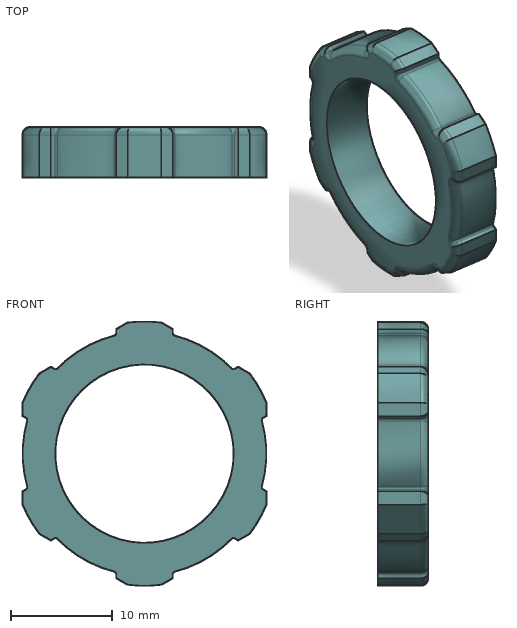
import cadquery as cq
import math

lug_diameter = 26.0
across_flats = 24.0
body_diameter = 23.95
hole_diameter = 17.5
thickness = 5.0
lug_width = 5.6
lug_count = 6
root_radius = 0.2
rim_radius = 0.8

lug_pitch = 360 / lug_count
hexagon_corner_diameter = across_flats / math.cos(math.pi / lug_count)
bar_length = 1.2 * lug_diameter
half_lug = lug_width / 2
body_radius = body_diameter / 2


def front_plane():
    """Sketch plane in X and Z; negative extrusions run toward +Y."""
    return cq.Workplane("XZ")


def disc(diameter):
    return front_plane().circle(diameter / 2).extrude(-thickness)


def turned(solid, angle):
    """Turn a solid about the ring axis."""
    return solid.rotate((0, 0, 0), (0, 1, 0), angle)


def round_rim(solid):
    """Round every edge of the +Y face."""
    return solid.faces(">Y").edges().fillet(rim_radius)


def lug_blank():
    """Hexagon with corners on the lug axes, cut back to the lug circle."""
    hexagon = front_plane().polygon(lug_count, hexagon_corner_diameter).extrude(-thickness)
    hexagon = turned(hexagon, 90)
    return round_rim(hexagon.intersect(disc(lug_diameter)))


def root_points():
    """Corners, at mid thickness, where the lug flanks meet the ring."""
    points = []
    root_angle = math.asin(half_lug / body_radius)
    for index in range(lug_count):
        for side in (-1, 1):
            angle = math.radians(index * lug_pitch) + side * root_angle
            points.append((body_radius * math.sin(angle), thickness / 2, body_radius * math.cos(angle)))
    return points


def barred_ring():
    """Disc crossed by one straight bar per pair of lugs, with rounded roots."""
    ring = disc(body_diameter)
    bar = front_plane().rect(lug_width, bar_length).extrude(-thickness)
    for index in range(lug_count // 2):
        ring = ring.union(turned(bar, index * lug_pitch))
    for point in root_points():
        nearest = cq.selectors.NearestToPointSelector(point)
        ring = ring.edges("|Y").edges(nearest).fillet(root_radius)
    return round_rim(ring)


result = barred_ring().intersect(lug_blank()).cut(disc(hole_diameter))